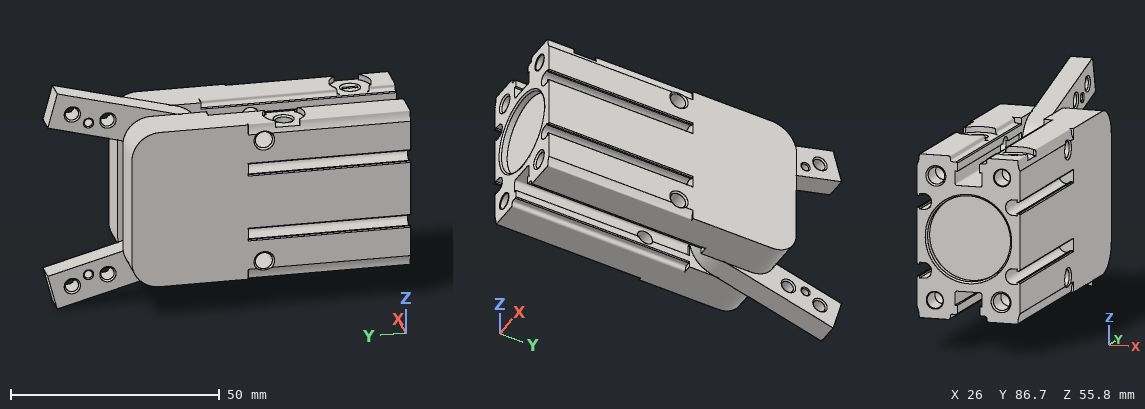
import cadquery as cq
import math


total_length = 86.7
total_height = 55.8
body_width = 26.0
body_height = 40.05
body_length = 68.3
nose_radius = 6.85

half_width = body_width / 2
half_height = body_height / 2

finger_width = 9.0
finger_thickness = 5.6
finger_angle = 15.0
finger_length = 39.5
finger_heel_radius = 8.0
finger_hole_diameter = 3.2
finger_hole_mouth = 4.0
finger_hole_inset = 5.0
finger_hole_pitch = 9.0
finger_dowel_diameter = 2.0
finger_dowel_mouth = 2.5
finger_dowel_height = 3.0

t_slot_length = 47.85
lip_half_width = 4.6
lip_depth = 1.4
lip_radius = 0.5
neck_half_width = finger_thickness / 2
neck_chamfer = 0.3
undercut_half_width = 3.4
undercut_start = 3.6
t_slot_depth = 7.1

profile_length = 39.8
groove_width = 3.8
groove_depth = 3.6
groove_mouth = 2.8
groove_lip = 0.7
groove_chamfer = 0.3
groove_height = 8.4
relief_depth = 0.5
relief_height = 2.6
relief_round = 0.3

thread_diameter = 4.2
thread_mouth = 5.0
drill_point_angle = 118.0
cross_hole_y = 35.9
cross_hole_z = 15.7
rear_hole_depth = 6.0
rear_thread_x = 8.2
rear_thread_z = 14.9
rear_plain_diameter = 4.0
rear_plain_mouth = 4.3
rear_plain_x = 8.5
rear_plain_z = 15.5

rear_bore_diameter = 21.0
rear_bore_mouth = 21.85
rear_bore_depth = 2.0

port_x = 7.8
open_port_y = 30.0
plugged_port_y = 10.3
port_pad_diameter = 10.1
port_pad_channel = 6.0
port_depth = 5.0
port_floor_z = half_height - lip_depth

plug_diameter = 5.0
plug_length = 3.0
driver_slot_width = 0.8
driver_slot_length = 3.8
driver_slot_depth = 0.5


def cylinder(start, direction, diameter, length):
    return cq.Solid.makeCylinder(diameter / 2, length, cq.Vector(*start), cq.Vector(*direction))


def chamfer_cone(start, direction, mouth, diameter):
    """45 degree countersink that narrows from mouth to diameter."""
    depth = (mouth - diameter) / 2
    return cq.Solid.makeCone(mouth / 2, diameter / 2, depth, cq.Vector(*start), cq.Vector(*direction))


def drilled_hole(start, direction, diameter, depth):
    """Blind hole that ends in a drill point."""
    radius = diameter / 2
    point_depth = radius / math.tan(math.radians(drill_point_angle / 2))
    tip_start = cq.Vector(*start) + cq.Vector(*direction) * depth
    tip = cq.Solid.makeCone(radius, 0, point_depth, tip_start, cq.Vector(*direction))
    return cylinder(start, direction, diameter, depth).fuse(tip)


def chamfered_through_hole(half_span, y, z, diameter, mouth):
    """Hole along X between -half_span and half_span, countersunk at both ends."""
    left = (-half_span, y, z)
    right = (half_span, y, z)
    hole = cylinder(left, (1, 0, 0), diameter, 2 * half_span)
    hole = hole.fuse(chamfer_cone(left, (1, 0, 0), mouth, diameter))
    return hole.fuse(chamfer_cone(right, (-1, 0, 0), mouth, diameter))


def make_t_slot():
    """Stepped slot in the top face, open at the rear."""
    lip_floor = half_height - lip_depth
    undercut_top = half_height - undercut_start
    slot_floor = half_height - t_slot_depth
    half_outline = (
        cq.Workplane("XZ")
        .moveTo(0, half_height)
        .lineTo(lip_half_width + lip_radius, half_height)
        .radiusArc((lip_half_width, half_height - lip_radius), -lip_radius)
        .lineTo(lip_half_width, lip_floor + lip_radius)
        .radiusArc((lip_half_width - lip_radius, lip_floor), lip_radius)
        .lineTo(neck_half_width + neck_chamfer, lip_floor)
        .lineTo(neck_half_width, lip_floor - neck_chamfer)
        .lineTo(neck_half_width, undercut_top)
        .lineTo(undercut_half_width, undercut_top)
        .lineTo(undercut_half_width, slot_floor + lip_radius)
        .radiusArc((undercut_half_width - lip_radius, slot_floor), lip_radius)
        .lineTo(0, slot_floor)
        .close()
        .extrude(-t_slot_length)
    )
    return half_outline.union(half_outline.mirror("YZ"))


def make_side_groove():
    """Round-bottomed groove behind a chamfered mouth in the -X face, upper position."""
    half_mouth = groove_mouth / 2
    half_groove = groove_width / 2
    arc_start = groove_depth - half_groove
    return (
        cq.Workplane("XZ", origin=(-half_width, 0, groove_height))
        .moveTo(0, half_mouth + groove_chamfer)
        .lineTo(groove_chamfer, half_mouth)
        .lineTo(groove_lip, half_mouth)
        .lineTo(groove_lip, half_groove)
        .lineTo(arc_start, half_groove)
        .threePointArc((groove_depth, 0), (arc_start, -half_groove))
        .lineTo(groove_lip, -half_groove)
        .lineTo(groove_lip, -half_mouth)
        .lineTo(groove_chamfer, -half_mouth)
        .lineTo(0, -half_mouth - groove_chamfer)
        .close()
        .extrude(-profile_length)
    )


def make_corner_relief():
    """Concave relief along the upper -X edge, with a rounded top edge."""
    wall_top = half_height - relief_round
    hollow_height = relief_height - relief_round
    hollow_radius = (relief_depth**2 + hollow_height**2) / (2 * relief_depth)
    wall_x = -half_width + relief_depth
    return (
        cq.Workplane("XZ")
        .moveTo(-half_width, half_height)
        .lineTo(-half_width, half_height - relief_height)
        .radiusArc((wall_x, wall_top), -hollow_radius)
        .radiusArc((wall_x + relief_round, half_height), relief_round)
        .close()
        .extrude(-profile_length)
    )


def make_port_pad(side, y):
    """Flat recess round a port, open to the nearest side face (side is -1 or 1)."""
    pad = (
        cq.Workplane("XY", origin=(side * port_x, y, port_floor_z))
        .circle(port_pad_diameter / 2)
        .extrude(lip_depth)
    )
    channel_length = half_width - port_x
    channel = (
        cq.Workplane("XY", origin=(side * (port_x + channel_length / 2), y, port_floor_z))
        .rect(channel_length, port_pad_channel)
        .extrude(lip_depth)
    )
    envelope = cq.Workplane("XY").box(body_width, 2 * body_length, body_height)
    return pad.union(channel).intersect(envelope)


def make_housing():
    housing = (
        cq.Workplane("XY")
        .box(body_width, body_length, body_height)
        .translate((0, body_length / 2, 0))
        .edges("|X and >Y")
        .fillet(nose_radius)
    )

    clevis_length = body_length - t_slot_length
    clevis_center_y = t_slot_length + clevis_length / 2
    clevis = cq.Workplane("XY").box(finger_thickness, clevis_length, body_height)
    housing = housing.cut(clevis.translate((0, clevis_center_y, 0)))

    t_slot = make_t_slot()
    housing = housing.cut(t_slot).cut(t_slot.mirror("XY"))

    for feature in (make_side_groove(), make_corner_relief()):
        left_pair = feature.union(feature.mirror("XY"))
        housing = housing.cut(left_pair).cut(left_pair.mirror("YZ"))

    for z in (-cross_hole_z, cross_hole_z):
        cross_hole = chamfered_through_hole(half_width, cross_hole_y, z, thread_diameter, thread_mouth)
        housing = housing.cut(cross_hole)

    inward = (0, 1, 0)
    for side in (-1, 1):
        threaded = (side * rear_thread_x, 0, -side * rear_thread_z)
        plain = (side * rear_plain_x, 0, side * rear_plain_z)
        housing = housing.cut(drilled_hole(threaded, inward, thread_diameter, rear_hole_depth))
        housing = housing.cut(chamfer_cone(threaded, inward, thread_mouth, thread_diameter))
        housing = housing.cut(drilled_hole(plain, inward, rear_plain_diameter, rear_hole_depth))
        housing = housing.cut(chamfer_cone(plain, inward, rear_plain_mouth, rear_plain_diameter))

    housing = housing.cut(cylinder((0, 0, 0), inward, rear_bore_diameter, rear_bore_depth))
    housing = housing.cut(chamfer_cone((0, 0, 0), inward, rear_bore_mouth, rear_bore_diameter))

    housing = housing.cut(make_port_pad(-1, open_port_y)).cut(make_port_pad(1, plugged_port_y))
    down = (0, 0, -1)
    open_port = (-port_x, open_port_y, port_floor_z)
    plug_seat = (port_x, plugged_port_y, port_floor_z)
    housing = housing.cut(drilled_hole(open_port, down, thread_diameter, port_depth))
    housing = housing.cut(chamfer_cone(open_port, down, thread_mouth, thread_diameter))
    return housing.cut(cylinder(plug_seat, down, plug_diameter, plug_length))


def make_upper_finger():
    """Finger built flat with its inner tip corner at the origin, then tilted and moved."""
    finger = (
        cq.Workplane("XY")
        .box(finger_thickness, finger_length, finger_width)
        .translate((0, -finger_length / 2, finger_width / 2))
        .edges("|X and <Y and >Z")
        .fillet(finger_heel_radius)
    )
    half_thickness = finger_thickness / 2
    outer_hole_y = -finger_hole_inset
    inner_hole_y = outer_hole_y - finger_hole_pitch
    dowel_y = (outer_hole_y + inner_hole_y) / 2
    for y in (outer_hole_y, inner_hole_y):
        screw_hole = chamfered_through_hole(
            half_thickness, y, finger_width / 2, finger_hole_diameter, finger_hole_mouth
        )
        finger = finger.cut(screw_hole)
    dowel_hole = chamfered_through_hole(
        half_thickness, dowel_y, finger_dowel_height, finger_dowel_diameter, finger_dowel_mouth
    )
    finger = finger.cut(dowel_hole)
    tip_z = total_height / 2 - finger_width * math.cos(math.radians(finger_angle))
    return finger.rotate((0, 0, 0), (1, 0, 0), finger_angle).translate((0, total_length, tip_z))


def make_plug():
    plug = (
        cq.Workplane("XY", origin=(port_x, plugged_port_y, port_floor_z))
        .circle(plug_diameter / 2)
        .extrude(-plug_length)
    )
    driver_slot = (
        cq.Workplane("XY", origin=(port_x, plugged_port_y, port_floor_z))
        .rect(driver_slot_width, driver_slot_length)
        .extrude(-driver_slot_depth)
    )
    return plug.cut(driver_slot)


housing = make_housing()
plug = make_plug()

upper_finger = make_upper_finger()
fingers = [upper_finger, upper_finger.mirror("XY")]

result = cq.Compound.makeCompound([housing.val(), plug.val(), *[finger.val() for finger in fingers]])